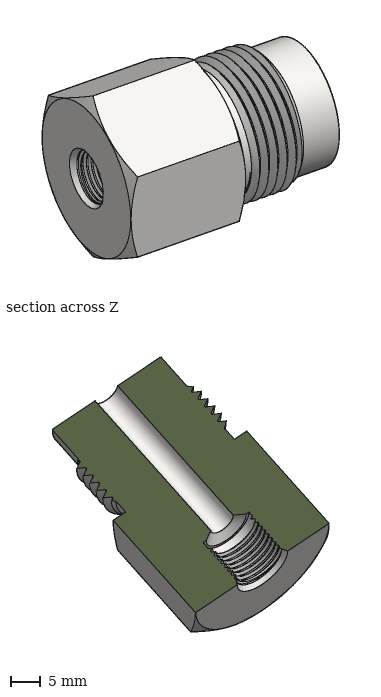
import cadquery as cq
import math

HEX_ACROSS_FLATS = 28.575
HEX_LENGTH = 22.86
HEX_CHAMFER_DIAMETER = 28.4
HEX_CHAMFER_ANGLE = 30.0
HEX_CORNER_DIAMETER = HEX_ACROSS_FLATS / math.cos(math.pi / 6)
HEX_CORNER_ROTATION = 30.0
TOTAL_LENGTH = 43.18

SPIGOT_DIAMETER = 23.3
TIP_CHAMFER = 0.15

INCH = 25.4

FLANK_ANGLE = 30.0

THREAD_PITCH = INCH / 14
CREST_DIAMETER = 26.05
THREAD_START = 25.4
THREAD_END = 35.95
THREAD_FIRST_CREST = 26.39

BORE_DIAMETER = 4.76
TAP_MAJOR_DIAMETER = 9.7
TAP_MINOR_DIAMETER = 8.56
TAP_DEPTH = 10.0
TAP_PITCH = INCH / 27
TAP_TURNS = 9
TAP_FIRST_CREST = 0.33
DRILL_POINT_ANGLE = 118.0
COUNTERSINK_DIAMETER = 10.78
COUNTERSINK_ANGLE = 60.0

OVERLAP = 0.1


def tan_degrees(angle):
    return math.tan(math.radians(angle))


def revolve_about_y(profile):
    """Turn (radius, y) points, closed along the axis, into a solid."""
    return cq.Workplane("XY").polyline(profile).close().revolve(360, (0, 0, 0), (0, 1, 0))


def along_y(solid, y):
    """Lay a shape built along Z onto the Y axis, with its Z = 0 level at y."""
    origin = cq.Vector(0, 0, 0)
    laid_down = solid.rotate(origin, cq.Vector(1, 0, 0), -90)
    return cq.Workplane(laid_down.translate(cq.Vector(0, y, 0)))


def thread_ridge(root_radius, crest_radius, pitch, length):
    """V-shaped ridge wound right-handed about Z, its first crest on the XZ plane at Z = 0.

    The ridge points outward when the crest is the larger radius, otherwise inward.
    Its base lies a little beyond the root, inside the material that carries it.
    """
    base_radius = root_radius + math.copysign(OVERLAP, root_radius - crest_radius)
    half_width = abs(crest_radius - base_radius) * tan_degrees(FLANK_ANGLE)
    helix = cq.Wire.makeHelix(pitch, length, root_radius)
    profile = (
        cq.Workplane("XZ")
        .moveTo(base_radius, -half_width)
        .lineTo(crest_radius, 0)
        .lineTo(base_radius, half_width)
        .close()
    )
    return profile.sweep(cq.Workplane(helix), isFrenet=True).val()


def hexagon():
    """Hexagonal prism with its corners turned to a cone at both ends."""
    prism = (
        cq.Workplane("XZ")
        .polygon(6, HEX_CORNER_DIAMETER)
        .extrude(-HEX_LENGTH)
        .rotate((0, 0, 0), (0, 1, 0), HEX_CORNER_ROTATION)
    )
    outer_radius = HEX_CORNER_DIAMETER / 2
    face_radius = HEX_CHAMFER_DIAMETER / 2
    drop = (outer_radius - face_radius) * tan_degrees(HEX_CHAMFER_ANGLE)
    envelope = revolve_about_y([
        (0, 0), (face_radius, 0), (outer_radius, drop),
        (outer_radius, HEX_LENGTH - drop), (face_radius, HEX_LENGTH), (0, HEX_LENGTH),
    ])
    return prism.intersect(envelope)


def spigot():
    """Plain round shank with a small chamfer at the tip."""
    radius = SPIGOT_DIAMETER / 2
    return revolve_about_y([
        (0, HEX_LENGTH - OVERLAP), (radius, HEX_LENGTH - OVERLAP), (radius, TOTAL_LENGTH - TIP_CHAMFER),
        (radius - TIP_CHAMFER, TOTAL_LENGTH), (0, TOTAL_LENGTH),
    ])


def external_thread():
    """Full ridge trimmed to a cylinder with 45-degree ends."""
    root = SPIGOT_DIAMETER / 2
    crest = CREST_DIAMETER / 2
    ridge_start = THREAD_FIRST_CREST - 2 * THREAD_PITCH
    length = THREAD_END + THREAD_PITCH - ridge_start
    ridge = along_y(thread_ridge(root, crest, THREAD_PITCH, length), ridge_start)
    depth = crest + OVERLAP - root
    envelope = revolve_about_y([
        (0, THREAD_START), (root, THREAD_START), (root + depth, THREAD_START + depth),
        (root + depth, THREAD_END - depth), (root, THREAD_END), (0, THREAD_END),
    ])
    return ridge.intersect(envelope)


def thread_chamber():
    """Chamber at the thread's major diameter, with a drill point and a bore through the rest."""
    bore_radius = BORE_DIAMETER / 2
    major_radius = TAP_MAJOR_DIAMETER / 2
    minor_radius = TAP_MINOR_DIAMETER / 2
    point_depth = (minor_radius - bore_radius) / tan_degrees(DRILL_POINT_ANGLE / 2)
    return revolve_about_y([
        (0, 0), (major_radius, 0), (major_radius, TAP_DEPTH), (minor_radius, TAP_DEPTH),
        (bore_radius, TAP_DEPTH + point_depth), (bore_radius, TOTAL_LENGTH), (0, TOTAL_LENGTH),
    ])


def internal_thread():
    """Ridge that stands inward from the chamber wall."""
    ridge = thread_ridge(TAP_MAJOR_DIAMETER / 2, TAP_MINOR_DIAMETER / 2, TAP_PITCH, TAP_TURNS * TAP_PITCH)
    return along_y(ridge, TAP_FIRST_CREST)


def countersink():
    """Entry cone, extended straight out of the front face to clear the first thread turn."""
    radius = COUNTERSINK_DIAMETER / 2
    apex_depth = radius / tan_degrees(COUNTERSINK_ANGLE / 2)
    return revolve_about_y([(0, -TAP_PITCH), (radius, -TAP_PITCH), (radius, 0), (0, apex_depth)])


result = hexagon().union(spigot()).union(external_thread())
result = result.cut(thread_chamber()).union(internal_thread()).cut(countersink())